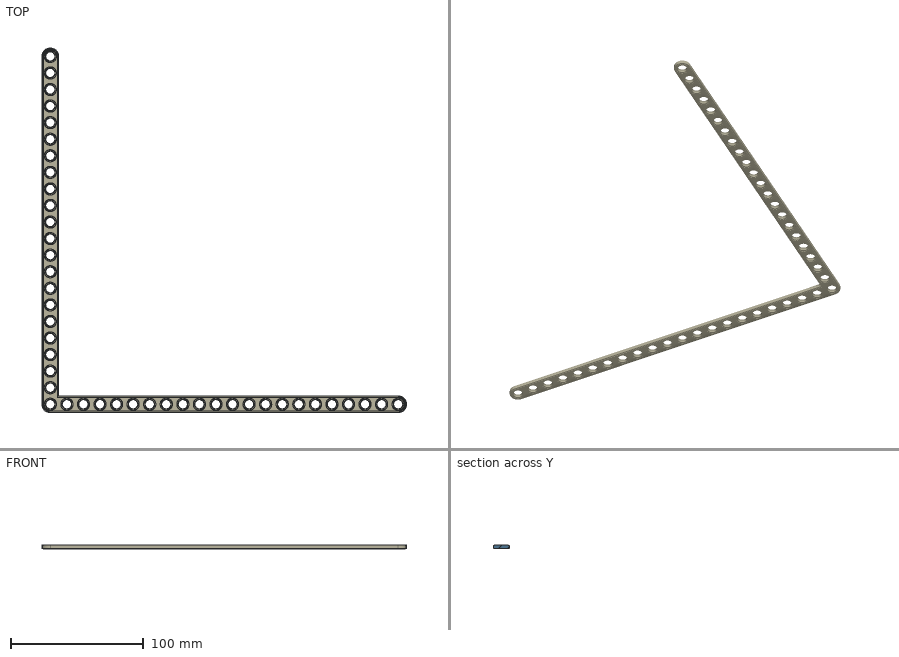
import cadquery as cq

leg_length = 275.0
thickness = 3.0

holes_per_leg = 22
pitch = leg_length / holes_per_leg
strip_width = pitch
margin = strip_width / 2

wall_beside_hole = 2.8
hole_diameter = strip_width - 2 * wall_beside_hole
ring_width = 1.0
ring_diameter = hole_diameter + 2 * ring_width

step_depth = 0.2
rim_width = 1.0
core_thickness = thickness - 2 * step_depth


def angle_plate(inset, height, base_z):
    """L-shaped plate with rounded ends, its outline moved inwards by inset."""
    length = leg_length - 2 * inset
    width = strip_width - 2 * inset
    middle = leg_length / 2
    plane = cq.Workplane("XY").workplane(offset=base_z)
    leg_x = plane.center(middle, margin).slot2D(length, width).extrude(height)
    leg_y = plane.center(margin, middle).slot2D(length, width, angle=90).extrude(height)
    return leg_x.union(leg_y)


def hole_centres():
    """Hole centres along both legs, with the corner hole counted once."""
    along_x = [(margin + i * pitch, margin) for i in range(holes_per_leg)]
    along_y = [(margin, margin + i * pitch) for i in range(1, holes_per_leg)]
    return along_x + along_y


def discs(diameter, height, base_z):
    """One disc of the given diameter at every hole centre."""
    plane = cq.Workplane("XY").workplane(offset=base_z)
    return plane.pushPoints(hole_centres()).circle(diameter / 2).extrude(height)


core = angle_plate(0, core_thickness, step_depth)
body = core.union(angle_plate(rim_width, thickness, 0))

for ring_base in (0, thickness - step_depth):
    body = body.cut(discs(ring_diameter, step_depth, ring_base))

result = body.cut(discs(hole_diameter, thickness, 0))